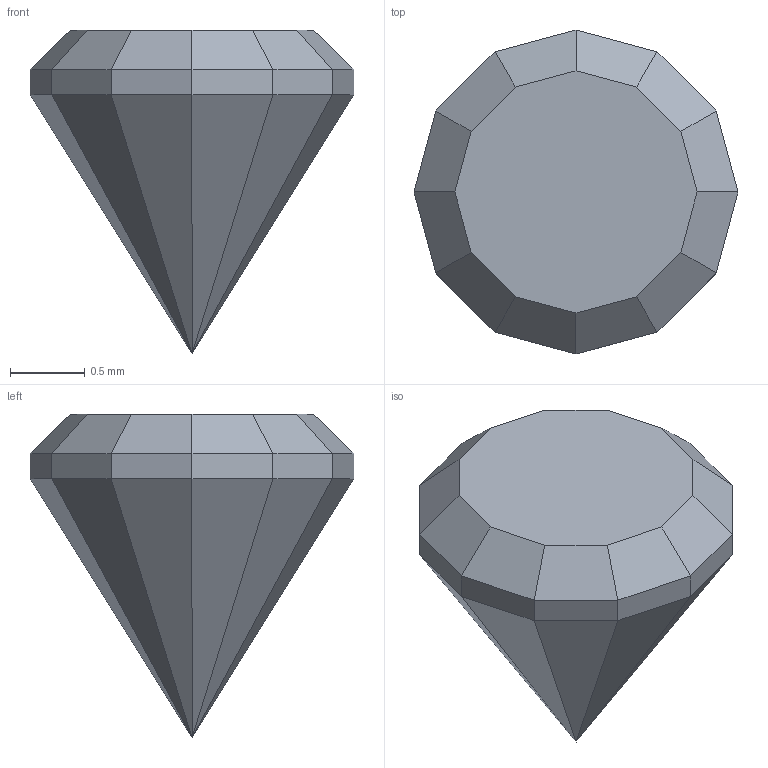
import cadquery as cq
import math

facet_count = 12
gem_width = 2.16
gem_height = 2.16
table_width = 1.615
crown_height = 0.2635
girdle_height = 0.168

girdle_top = gem_height - crown_height
girdle_bottom = girdle_top - girdle_height


def ring(width, z):
    """Corners of a regular polygon at height z, with the first corner on +X."""
    step = 2 * math.pi / facet_count
    radius = width / 2
    return [
        cq.Vector(radius * math.cos(i * step), radius * math.sin(i * step), z)
        for i in range(facet_count)
    ]


def flat_face(corners):
    """Flat face bounded by straight edges through the corners."""
    return cq.Face.makeFromWires(cq.Wire.makePolygon(corners, close=True))


def facet_band(lower, upper):
    """Four-sided facets joining two rings of corners."""
    facets = []
    for i in range(facet_count):
        j = (i + 1) % facet_count
        facets.append(flat_face([lower[i], lower[j], upper[j], upper[i]]))
    return facets


def pavilion_facets(tip, rim):
    """Triangular facets running from the tip up to the girdle."""
    facets = []
    for i in range(facet_count):
        j = (i + 1) % facet_count
        facets.append(flat_face([tip, rim[j], rim[i]]))
    return facets


tip = cq.Vector(0, 0, 0)
lower_girdle = ring(gem_width, girdle_bottom)
upper_girdle = ring(gem_width, girdle_top)
table = ring(table_width, gem_height)

faces = pavilion_facets(tip, lower_girdle)
faces += facet_band(lower_girdle, upper_girdle)
faces += facet_band(upper_girdle, table)
faces.append(flat_face(table))

gem = cq.Solid.makeSolid(cq.Shell.makeShell(faces))
result = cq.Workplane("XY").newObject([gem])